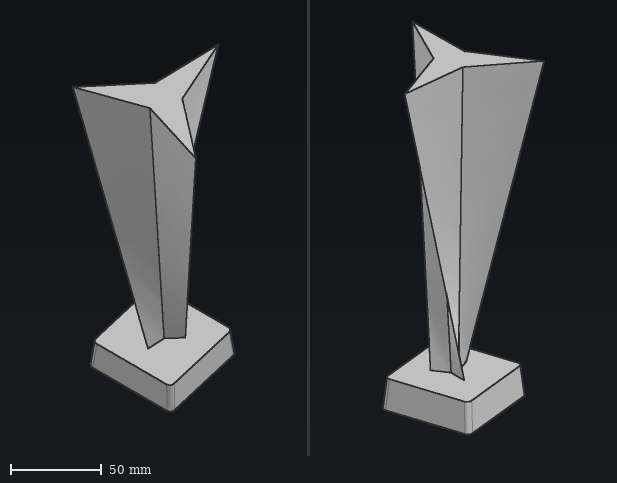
import cadquery as cq
import math

BASE_WIDTH = 58.0
BASE_HEIGHT = 19.1
BASE_DRAFT = 5.0
BASE_CORNER_RADIUS = 3.0

TOTAL_HEIGHT = 212.8
STAR_POINTS = 3
TOP_SPAN = 86.4
TOP_TIP_RADIUS = TOP_SPAN / (2 * math.sin(math.pi / STAR_POINTS))
TOP_INNER_RADIUS = 11.0
FOOT_TIP_RADIUS = 12.8
FOOT_INNER_RADIUS = 2.5
TOP_START_ANGLE = 90.0
TWIST = 60.0


def make_base():
    """Square block narrowing upwards, its slanted corner edges rounded."""
    block = cq.Workplane("XY").rect(BASE_WIDTH, BASE_WIDTH).extrude(BASE_HEIGHT, taper=BASE_DRAFT)
    return block.edges("not(#Z)").fillet(BASE_CORNER_RADIUS)


def star_corners(tip_radius, inner_radius, start_angle, height):
    """Corners of a star, tips and inner corners in turn, counterclockwise."""
    corners = []
    for step in range(2 * STAR_POINTS):
        radius = tip_radius if step % 2 == 0 else inner_radius
        angle = math.radians(start_angle + step * 180.0 / STAR_POINTS)
        corners.append(cq.Vector(radius * math.cos(angle), radius * math.sin(angle), height))
    return corners


def make_cup():
    """Star-shaped body standing on the base, turning as it widens to the rim."""
    foot = star_corners(FOOT_TIP_RADIUS, FOOT_INNER_RADIUS, TOP_START_ANGLE + TWIST, BASE_HEIGHT)
    rim = star_corners(TOP_TIP_RADIUS, TOP_INNER_RADIUS, TOP_START_ANGLE, TOTAL_HEIGHT)
    faces = [cq.Face.makeFromWires(cq.Wire.makePolygon(star, close=True)) for star in (foot, rim)]

    for this in range(2 * STAR_POINTS):
        previous = this - 1
        foot_edge = cq.Edge.makeLine(foot[previous], foot[this])
        rim_edge = cq.Edge.makeLine(rim[previous], rim[this])
        faces.append(cq.Face.makeRuledSurface(foot_edge, rim_edge))
    return cq.Workplane(cq.Solid.makeSolid(cq.Shell.makeShell(faces)))


base = make_base()
cup = make_cup()

result = cq.Compound.makeCompound([base.val(), cup.val()])